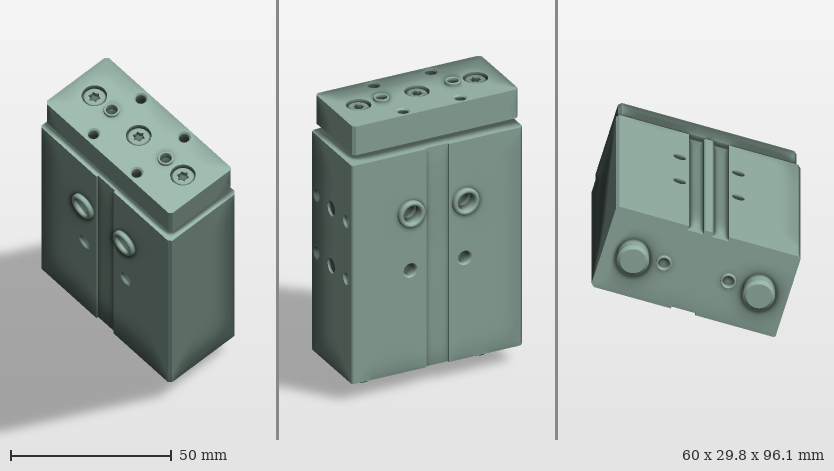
import cadquery as cq
import math

housing_width = 60.0
housing_rear = 14.0
housing_front = -14.1
housing_bottom = 6.0
housing_top = 82.1
corner_chamfer = 1.0
front_left_chamfer = 0.5

plate_width = 58.0
plate_depth = 26.1
plate_bottom = 85.05
plate_top = 95.0

front_groove_width = 7.9
front_groove_depth = 0.7
rear_groove_width = 13.1
rear_groove_depth = 1.4
rear_rib_width = 3.0
rear_rib_chamfer = 0.3

guide_rod_diameter = 10.0
guide_rod_x = 20.5
guide_rod_chamfer = 1.0
piston_rod_diameter = 5.8
piston_rod_engagement = 19.2

screw_recess_diameter = 8.0
screw_recess_depth = 1.9
screw_head_diameter = 7.0
screw_head_sink = 0.7
screw_head_chamfer = 0.4
torx_outer_radius = 2.0
torx_inner_radius = 1.4
torx_lobes = 6
torx_depth = 1.5

plate_hole_diameter = 3.3
plate_hole_mouth = 4.3
plate_hole_offset = 10.0
side_hole_diameter = 3.3
side_hole_mouth = 4.1
side_hole_y = 10.0
side_hole_depth = 6.7
mounting_hole_diameter = 4.1
mounting_hole_mouth = 5.0
mounting_hole_x = 9.5
hole_rows = (61.0, 41.0)
drill_point_angle = 118.0

small_sleeve_diameter = 5.0
small_sleeve_bore = 3.65
small_sleeve_seat = 1.4
top_sleeve_x = 12.5
top_sleeve_height = 1.1
bottom_sleeve_x = 10.5
bottom_sleeve_height = 1.25

large_sleeve_diameter = 9.0
large_sleeve_bore = 6.0
large_sleeve_seat = 1.9
large_sleeve_height = 1.7

plug_diameter = 5.0
plug_sink = 1.0
plug_length = 2.4

housing_height = housing_top - housing_bottom
housing_left = -housing_width / 2
housing_depth = housing_rear - housing_front
screw_x_positions = (-guide_rod_x, 0, guide_rod_x)
both_sides = (-1, 1)


def cylinder(diameter, length, base, direction):
    return cq.Workplane(cq.Solid.makeCylinder(diameter / 2, length, cq.Vector(*base), cq.Vector(*direction)))


def cone(start_diameter, end_diameter, length, base, direction):
    return cq.Workplane(
        cq.Solid.makeCone(
            start_diameter / 2, end_diameter / 2, length, cq.Vector(*base), cq.Vector(*direction)
        )
    )


def point_along(base, direction, distance):
    return tuple(b + d * distance for b, d in zip(base, direction))


def drilled_hole(diameter, depth, base, direction):
    """Blind hole with a conical drill point."""
    point_length = diameter / 2 / math.tan(math.radians(drill_point_angle / 2))
    tip = cone(diameter, 0, point_length, point_along(base, direction, depth), direction)
    return cylinder(diameter, depth, base, direction).union(tip)


def countersink(mouth, diameter, base, direction):
    """45 degree entry from the mouth diameter down to the hole diameter."""
    return cone(mouth, diameter, (mouth - diameter) / 2, base, direction)


def prism(width, depth, bottom, top):
    return cq.Workplane("XY").workplane(offset=bottom).rect(width, depth).extrude(top - bottom)


def make_housing():
    body = prism(housing_width, housing_depth, housing_bottom, housing_top)
    body = body.translate((0, (housing_front + housing_rear) / 2, 0))
    body = body.edges("|Z and (>Y or >X)").chamfer(corner_chamfer)
    body = body.edges("|Z and <X and <Y").chamfer(front_left_chamfer)

    front_groove = prism(front_groove_width, 2 * front_groove_depth, housing_bottom, housing_top)
    body = body.cut(front_groove.translate((0, housing_front, 0)))

    rear_rib = prism(rear_rib_width, 2 * rear_groove_depth, housing_bottom, housing_top)
    rear_rib = rear_rib.edges("|Z").chamfer(rear_rib_chamfer)
    rear_rib = rear_rib.translate((0, housing_rear - rear_groove_depth, 0))
    rear_groove = prism(rear_groove_width, 2 * rear_groove_depth, housing_bottom, housing_top)
    body = body.cut(rear_groove.translate((0, housing_rear, 0)).cut(rear_rib))

    for side in both_sides:
        rod_base = (side * guide_rod_x, 0, housing_bottom)
        body = body.cut(cylinder(guide_rod_diameter, housing_height, rod_base, (0, 0, 1)))
        seat = (side * bottom_sleeve_x, 0, housing_bottom)
        body = body.cut(cylinder(small_sleeve_diameter, small_sleeve_seat, seat, (0, 0, 1)))
        body = body.cut(drilled_hole(small_sleeve_bore, small_sleeve_seat, seat, (0, 0, 1)))
    body = body.cut(cylinder(piston_rod_diameter, piston_rod_engagement, (0, 0, housing_top), (0, 0, -1)))

    for z in hole_rows:
        for side in both_sides:
            mounting = (side * mounting_hole_x, housing_front, z)
            body = body.cut(cylinder(mounting_hole_diameter, housing_depth, mounting, (0, 1, 0)))
            body = body.cut(countersink(mounting_hole_mouth, mounting_hole_diameter, mounting, (0, 1, 0)))
            threaded = (housing_left, side * side_hole_y, z)
            body = body.cut(drilled_hole(side_hole_diameter, side_hole_depth, threaded, (1, 0, 0)))
            body = body.cut(countersink(side_hole_mouth, side_hole_diameter, threaded, (1, 0, 0)))
        port = (housing_left, 0, z)
        body = body.cut(cylinder(plug_diameter, plug_sink + plug_length, port, (1, 0, 0)))

    for side in both_sides:
        seat = (side * mounting_hole_x, housing_front, hole_rows[0])
        body = body.cut(cylinder(large_sleeve_diameter, large_sleeve_seat, seat, (0, 1, 0)))
        seat_floor = point_along(seat, (0, 1, 0), large_sleeve_seat)
        body = body.cut(countersink(mounting_hole_mouth, mounting_hole_diameter, seat_floor, (0, 1, 0)))
    return body


def torx_socket():
    points = []
    for i in range(2 * torx_lobes):
        radius = torx_inner_radius if i % 2 else torx_outer_radius
        angle = math.pi / 2 + i * math.pi / torx_lobes
        points.append((radius * math.cos(angle), radius * math.sin(angle)))
    head_top = plate_top - screw_head_sink
    return cq.Workplane("XY").workplane(offset=head_top).polyline(points).close().extrude(-torx_depth)


def screw_head():
    head_height = screw_recess_depth - screw_head_sink
    head = cylinder(screw_head_diameter, head_height, (0, 0, plate_top - screw_recess_depth), (0, 0, 1))
    return head.faces(">Z").chamfer(screw_head_chamfer).cut(torx_socket())


def make_yoke():
    """Plate with its guide rods, piston rod and screw heads."""
    body = prism(plate_width, plate_depth, plate_bottom, plate_top)
    body = body.edges("|Z").chamfer(corner_chamfer)

    for x_side in both_sides:
        for y_side in both_sides:
            hole = (x_side * plate_hole_offset, y_side * plate_hole_offset, plate_top)
            body = body.cut(cylinder(plate_hole_diameter, plate_top - plate_bottom, hole, (0, 0, -1)))
            body = body.cut(countersink(plate_hole_mouth, plate_hole_diameter, hole, (0, 0, -1)))
        seat = (x_side * top_sleeve_x, 0, plate_top)
        body = body.cut(cylinder(small_sleeve_diameter, small_sleeve_seat, seat, (0, 0, -1)))
        body = body.cut(drilled_hole(small_sleeve_bore, small_sleeve_seat, seat, (0, 0, -1)))

        rod = cylinder(guide_rod_diameter, plate_bottom, (x_side * guide_rod_x, 0, 0), (0, 0, 1))
        body = body.union(rod.faces("<Z").chamfer(guide_rod_chamfer))

    piston_rod_end = housing_top - piston_rod_engagement
    piston_rod_length = plate_bottom - piston_rod_end
    body = body.union(cylinder(piston_rod_diameter, piston_rod_length, (0, 0, piston_rod_end), (0, 0, 1)))

    for x in screw_x_positions:
        recess = cylinder(screw_recess_diameter, screw_recess_depth, (x, 0, plate_top), (0, 0, -1))
        body = body.cut(recess).cut(torx_socket().translate((x, 0, 0)))
        body = body.union(screw_head().translate((x, 0, 0)))
    return body


def sleeve_shape(diameter, bore, seat_depth, height):
    """Sleeve along Y with a fully rounded rim; its seat face is Y = 0 and it stands out towards -Y."""
    outer = diameter / 2
    inner = bore / 2
    rim_radius = (outer - inner) / 2
    round_start = rim_radius - height
    wall = (
        cq.Workplane("XY")
        .moveTo(inner, seat_depth)
        .lineTo(inner, round_start)
        .threePointArc((inner + rim_radius, -height), (outer, round_start))
        .lineTo(outer, seat_depth)
        .close()
    )
    return wall.revolve(360, (0, 0, 0), (0, 1, 0))


def make_top_sleeve(x):
    sleeve = sleeve_shape(small_sleeve_diameter, small_sleeve_bore, small_sleeve_seat, top_sleeve_height)
    return sleeve.rotate((0, 0, 0), (1, 0, 0), -90).translate((x, 0, plate_top))


def make_bottom_sleeve(x):
    sleeve = sleeve_shape(small_sleeve_diameter, small_sleeve_bore, small_sleeve_seat, bottom_sleeve_height)
    return sleeve.rotate((0, 0, 0), (1, 0, 0), 90).translate((x, 0, housing_bottom))


def make_front_sleeve(x):
    sleeve = sleeve_shape(large_sleeve_diameter, large_sleeve_bore, large_sleeve_seat, large_sleeve_height)
    return sleeve.translate((x, housing_front, hole_rows[0]))


def make_plug(z):
    return cylinder(plug_diameter, plug_length, (housing_left + plug_sink, 0, z), (1, 0, 0))


housing = make_housing()
yoke = make_yoke()
top_sleeves = [make_top_sleeve(side * top_sleeve_x) for side in both_sides]
bottom_sleeves = [make_bottom_sleeve(side * bottom_sleeve_x) for side in both_sides]
front_sleeves = [make_front_sleeve(side * mounting_hole_x) for side in both_sides]
plugs = [make_plug(z) for z in hole_rows]

bodies = [housing, yoke, *top_sleeves, *bottom_sleeves, *front_sleeves, *plugs]
result = cq.Compound.makeCompound([body.val() for body in bodies])